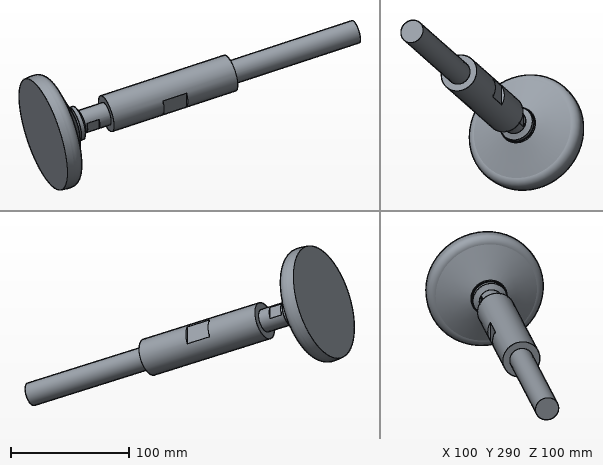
import cadquery as cq

total_length = 290.0

rod_radius = 20.0 / 2
rod_flat_spacing = 16.8
rod_flat_start = 36.8
rod_flat_length = 11.3

sleeve_radius = 32.0 / 2
sleeve_start = 58.5
sleeve_length = 114.8
sleeve_flat_spacing = 27.3
sleeve_flat_length = 22.0

pad_radius = 100.0 / 2
pad_base_radius = 49.3
rim_bottom = 6.0
rim_top = 8.7
shoulder_radius = 43.5
shoulder_height = 15.7
cone_top_radius = 15.7
cone_top = 27.0

groove_radius = 14.5
flange_radius = 15.5
collar_radius = 14.8
collar_bottom = 28.7
collar_top = 32.5
lip_radius = 13.0
lip_height = 33.4
collar_end = 35.0


def cylinder(radius, start, length):
    """Cylinder along Y from the given start."""
    axis_plane = cq.Workplane("XZ", origin=(0, start, 0))
    return axis_plane.circle(radius).extrude(-length)


def wrench_flats(body, radius, spacing, start, length):
    """Cut two parallel flats facing -X and +X."""
    depth = radius - spacing / 2
    for side in (-1, 1):
        cutter = cq.Workplane("XY").box(2 * depth, length, 2 * radius)
        body = body.cut(cutter.translate((side * radius, start + length / 2, 0)))
    return body


def make_pad():
    """Revolved pad with a rounded shoulder, a conical top, a groove and a collar."""
    return (
        cq.Workplane("XY")
        .lineTo(pad_base_radius, 0)
        .lineTo(pad_radius, rim_bottom)
        .lineTo(pad_radius, rim_top)
        .tangentArcPoint((shoulder_radius, shoulder_height), relative=False)
        .lineTo(cone_top_radius, cone_top)
        .lineTo(groove_radius, cone_top)
        .lineTo(flange_radius, collar_bottom)
        .lineTo(collar_radius, collar_bottom)
        .lineTo(collar_radius, collar_top)
        .lineTo(lip_radius, lip_height)
        .lineTo(rod_radius, collar_end)
        .lineTo(0, collar_end)
        .close()
        .revolve(360, (0, 0, 0), (0, 1, 0))
    )


def make_foot():
    """Pad and spindle in one piece."""
    rod = cylinder(rod_radius, collar_end, total_length - collar_end)
    rod = wrench_flats(rod, rod_radius, rod_flat_spacing, rod_flat_start, rod_flat_length)
    return make_pad().union(rod)


def make_sleeve():
    """Sleeve bored to fit the spindle, with wrench flats at mid-length."""
    flat_start = sleeve_start + (sleeve_length - sleeve_flat_length) / 2
    sleeve = cylinder(sleeve_radius, sleeve_start, sleeve_length)
    sleeve = wrench_flats(sleeve, sleeve_radius, sleeve_flat_spacing, flat_start, sleeve_flat_length)
    return sleeve.cut(cylinder(rod_radius, sleeve_start, sleeve_length))


foot = make_foot()
sleeve = make_sleeve()

result = cq.Compound.makeCompound([foot.val(), sleeve.val()])